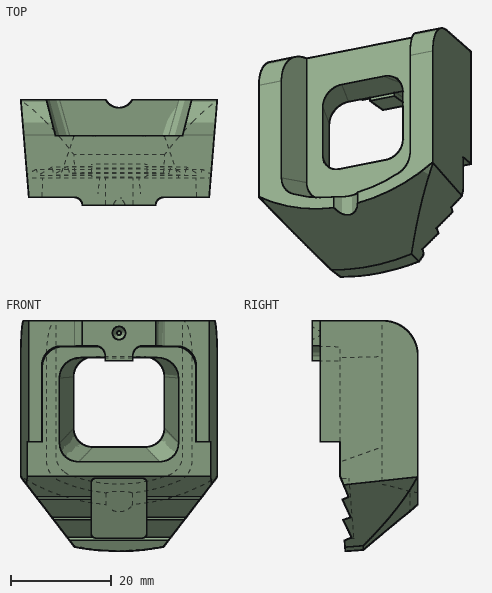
import cadquery as cq
import math


WIDTH = 39.0
DEPTH = 21.0
HEIGHT = 45.75
BEYOND = 4.58

BODY_FRONT_Y = 1.6
WEB_FRONT_Y = 5.55
LEG_BOTTOM_Z = 21.75
TEETH_TOP_Z = 14.85
TEETH = [
    (7.25, 10.8, 6.0, 10.3),
    (7.65, 6.75, 6.15, 6.25),
    (7.82, 2.8, 6.4, 2.2),
]
FOOT_FRONT_Y = 6.6
FOOT_BACK_Y = 10.15
BACK_TOP_RADIUS = 7.0

FRONT_HALF_WIDTH = 17.9
CORNER_TOP_Z = 14.8
CORNER_FOOT_X = 8.75
CORNER_FOOT_Z = 0.8
FOOT_RADIUS = 45.75
FOOT_RISE = 0.25
BACK_BOTTOM_Z = 9.25

LUG_HALF_WIDTH = 7.28
LUG_ROOT_RADIUS = BODY_FRONT_Y
TONGUE_HALF_WIDTH = 2.75
TONGUE_BOTTOM_Z = 37.75
TONGUE_ROOT_RADIUS = 2.0

CORNER_RADIUS = 4.0
CAVITY_HALF_WIDTH = 15.38
CAVITY_TOP_Z = 40.75
CAVITY_NARROWING = 0.2

WINDOW_FRONT_HALF_WIDTH = 11.8
WINDOW_FRONT_BOTTOM_Z = 17.8
WINDOW_FRONT_TOP_Z = 38.45
WINDOW_BACK_HALF_WIDTH = 8.95
WINDOW_BACK_BOTTOM_Z = 20.75
WINDOW_BACK_TOP_Z = 38.65

RECESS_FRONT_Y = 13.77
RECESS_FRONT_HALF_WIDTH = 12.6
RECESS_BACK_HALF_WIDTH = 14.4
RECESS_FLOOR_Z = 11.55
RECESS_FLOOR_RADIUS = 29.3
RECESS_CORNER_RADIUS = 4.35
GROOVE_RADIUS = 2.97
GROOVE_BOTTOM_Y = 19.4

POCKET_WIDTH = 11.07
POCKET_TOP_Z = 14.5
POCKET_BOTTOM_Z = 2.65
POCKET_CORNER_RADIUS = 0.9
POCKET_TOP_Y = 7.28
POCKET_BOTTOM_Y = 8.25

MARK_Z = 43.3
MARK_DIAMETER = 2.6
MARK_TIP_DIAMETER = 0.82
MARK_ANGLE = 60.0


def front_plane(y):
    """Plane seen from the front: local x is X, local y is Z, negative extrusion runs towards the back."""
    return cq.Plane(origin=(0, y, 0), xDir=(1, 0, 0), normal=(0, -1, 0))


def side_profile_block():
    profile = (
        cq.Workplane("YZ")
        .moveTo(BODY_FRONT_Y, HEIGHT)
        .lineTo(BODY_FRONT_Y, LEG_BOTTOM_Z)
        .lineTo(WEB_FRONT_Y, LEG_BOTTOM_Z)
        .lineTo(WEB_FRONT_Y, TEETH_TOP_Z)
    )
    for valley_y, valley_z, peak_y, peak_z in TEETH:
        profile = profile.lineTo(valley_y, valley_z).lineTo(peak_y, peak_z)
    profile = (
        profile.lineTo(FOOT_FRONT_Y, 0)
        .lineTo(FOOT_FRONT_Y, -BEYOND)
        .lineTo(DEPTH, -BEYOND)
        .lineTo(DEPTH, HEIGHT - BACK_TOP_RADIUS)
        .radiusArc((DEPTH - BACK_TOP_RADIUS, HEIGHT), -BACK_TOP_RADIUS)
        .close()
    )
    return profile.extrude(WIDTH / 2, both=True)


def plan_taper():
    half = WIDTH / 2
    outline = [
        (-half, DEPTH),
        (half, DEPTH),
        (FRONT_HALF_WIDTH, BODY_FRONT_Y),
        (-FRONT_HALF_WIDTH, BODY_FRONT_Y),
    ]
    return cq.Workplane("XY").workplane(offset=-BEYOND).polyline(outline).close().extrude(HEIGHT + 2 * BEYOND)


def front_outline_limit():
    """Front outline of the body: full width above, narrowing along the lower corner cuts."""
    half = WIDTH / 2
    slope = (half - CORNER_FOOT_X) / (CORNER_TOP_Z - CORNER_FOOT_Z)
    low_x = CORNER_FOOT_X - slope * (CORNER_FOOT_Z + BEYOND)
    outline = [
        (-half, HEIGHT),
        (-half, CORNER_TOP_Z),
        (-low_x, -BEYOND),
        (low_x, -BEYOND),
        (half, CORNER_TOP_Z),
        (half, HEIGHT),
    ]
    return cq.Workplane(front_plane(0)).polyline(outline).close().extrude(-DEPTH)


def underside_limit():
    """Solid of revolution about an axis along Y that rounds the foot and the sloping underside."""
    rise_per_y = FOOT_RISE / (FOOT_BACK_Y - FOOT_FRONT_Y)
    outline = [
        (0, 0),
        (FOOT_RADIUS + rise_per_y * FOOT_FRONT_Y, 0),
        (FOOT_RADIUS - FOOT_RISE, FOOT_BACK_Y),
        (FOOT_RADIUS - BACK_BOTTOM_Z, DEPTH),
        (0, DEPTH),
    ]
    spindle = cq.Workplane("XY").polyline(outline).close().revolve(360, (0, 0), (0, 1))
    return spindle.translate((0, 0, FOOT_RADIUS))


def front_lug():
    """Raised lug with concave roots on both sides."""
    root_x = LUG_HALF_WIDTH + LUG_ROOT_RADIUS
    return (
        cq.Workplane("XY")
        .workplane(offset=TONGUE_BOTTOM_Z)
        .moveTo(-root_x, WEB_FRONT_Y)
        .lineTo(-root_x, BODY_FRONT_Y)
        .radiusArc((-LUG_HALF_WIDTH, 0), LUG_ROOT_RADIUS)
        .lineTo(LUG_HALF_WIDTH, 0)
        .radiusArc((root_x, BODY_FRONT_Y), LUG_ROOT_RADIUS)
        .lineTo(root_x, WEB_FRONT_Y)
        .close()
        .extrude(HEIGHT - TONGUE_BOTTOM_Z)
    )


def tapered_block(front_y, front_rect, back_y, back_rect):
    """Block between two rectangles given as (half width, bottom Z, top Z)."""
    block = cq.Workplane(front_plane(front_y))
    for offset, (half, bottom, top) in ((0, front_rect), (front_y - back_y, back_rect)):
        outline = [(-half, bottom), (half, bottom), (half, top), (-half, top)]
        block = block.workplane(offset=offset).polyline(outline).close()
    return block.loft(ruled=True)


def tongue():
    """Tongue hanging from the lug into the cavity, flaring into the cavity roof on both sides."""
    root_x = TONGUE_HALF_WIDTH + TONGUE_ROOT_RADIUS
    root_z = CAVITY_TOP_Z - TONGUE_ROOT_RADIUS
    return (
        cq.Workplane(front_plane(0))
        .moveTo(-root_x, HEIGHT)
        .lineTo(-root_x, CAVITY_TOP_Z)
        .radiusArc((-TONGUE_HALF_WIDTH, root_z), TONGUE_ROOT_RADIUS)
        .lineTo(-TONGUE_HALF_WIDTH, TONGUE_BOTTOM_Z)
        .lineTo(TONGUE_HALF_WIDTH, TONGUE_BOTTOM_Z)
        .lineTo(TONGUE_HALF_WIDTH, root_z)
        .radiusArc((root_x, CAVITY_TOP_Z), TONGUE_ROOT_RADIUS)
        .lineTo(root_x, HEIGHT)
        .close()
        .extrude(-WEB_FRONT_Y)
    )


def front_cavity():
    """Pocket between the legs, open at the bottom, with the tongue left standing in it."""
    bottom_z = LEG_BOTTOM_Z - BEYOND
    pocket = tapered_block(
        0,
        (CAVITY_HALF_WIDTH, bottom_z, CAVITY_TOP_Z),
        WEB_FRONT_Y,
        (CAVITY_HALF_WIDTH - CAVITY_NARROWING, bottom_z, CAVITY_TOP_Z - CAVITY_NARROWING),
    )
    top_corners = cq.selectors.BoxSelector((-WIDTH, -BEYOND, LEG_BOTTOM_Z), (WIDTH, DEPTH, HEIGHT))
    return pocket.edges("not(#Y)").edges(top_corners).fillet(CORNER_RADIUS).cut(tongue())


def window():
    """Rounded opening that narrows at the sides and bottom from the web to the back recess."""
    opening = tapered_block(
        WEB_FRONT_Y,
        (WINDOW_FRONT_HALF_WIDTH, WINDOW_FRONT_BOTTOM_Z, WINDOW_FRONT_TOP_Z),
        RECESS_FRONT_Y,
        (WINDOW_BACK_HALF_WIDTH, WINDOW_BACK_BOTTOM_Z, WINDOW_BACK_TOP_Z),
    )
    return opening.edges("not(#Y)").fillet(CORNER_RADIUS)


def recess_section(block, offset, half_width, floor_radius):
    """Add one open-topped section: upright walls, rounded corners and a dished floor about a fixed centre."""
    dish_centre_z = RECESS_FLOOR_Z + RECESS_FLOOR_RADIUS
    corner_x = half_width - RECESS_CORNER_RADIUS
    corner_z = dish_centre_z - math.sqrt((floor_radius - RECESS_CORNER_RADIUS) ** 2 - corner_x ** 2)
    reach = floor_radius / (floor_radius - RECESS_CORNER_RADIUS)
    floor_x = corner_x * reach
    floor_z = dish_centre_z + (corner_z - dish_centre_z) * reach
    return (
        block.workplane(offset=offset)
        .moveTo(-half_width, HEIGHT)
        .lineTo(-half_width, corner_z)
        .radiusArc((-floor_x, floor_z), -RECESS_CORNER_RADIUS)
        .radiusArc((floor_x, floor_z), -floor_radius)
        .radiusArc((half_width, corner_z), -RECESS_CORNER_RADIUS)
        .lineTo(half_width, HEIGHT)
        .close()
    )


def back_recess():
    """Upright channel between the back lugs, with a dished floor that drops towards the back."""
    inset = RECESS_BACK_HALF_WIDTH - RECESS_FRONT_HALF_WIDTH
    block = cq.Workplane(front_plane(RECESS_FRONT_Y))
    block = recess_section(block, 0, RECESS_FRONT_HALF_WIDTH, RECESS_FLOOR_RADIUS - inset)
    block = recess_section(block, RECESS_FRONT_Y - DEPTH, RECESS_BACK_HALF_WIDTH, RECESS_FLOOR_RADIUS)
    return block.loft(ruled=True)


def drain_groove():
    centre_y = GROOVE_BOTTOM_Y + GROOVE_RADIUS
    return cq.Workplane("XY").center(0, centre_y).circle(GROOVE_RADIUS).extrude(WINDOW_BACK_BOTTOM_Z)


def label_pocket():
    """Rounded rectangular pocket through the teeth, with a sloping flat floor."""
    height = POCKET_TOP_Z - POCKET_BOTTOM_Z
    rounded_prism = (
        cq.Workplane(front_plane(0))
        .center(0, POCKET_BOTTOM_Z + height / 2)
        .rect(POCKET_WIDTH, height)
        .extrude(-DEPTH)
        .edges("|Y")
        .fillet(POCKET_CORNER_RADIUS)
    )
    side_outline = [
        (0, POCKET_TOP_Z),
        (POCKET_TOP_Y, POCKET_TOP_Z),
        (POCKET_BOTTOM_Y, POCKET_BOTTOM_Z),
        (0, POCKET_BOTTOM_Z),
    ]
    wedge = cq.Workplane("YZ").polyline(side_outline).close().extrude(POCKET_WIDTH, both=True)
    return rounded_prism.intersect(wedge)


def centre_mark():
    depth = (MARK_DIAMETER - MARK_TIP_DIAMETER) / 2 / math.tan(math.radians(MARK_ANGLE / 2))
    return (
        cq.Workplane(front_plane(0))
        .center(0, MARK_Z)
        .circle(MARK_DIAMETER / 2)
        .workplane(offset=-depth)
        .circle(MARK_TIP_DIAMETER / 2)
        .loft()
    )


result = side_profile_block().intersect(plan_taper())
result = result.intersect(front_outline_limit()).intersect(underside_limit())

result = result.union(front_lug())
result = result.cut(front_cavity()).cut(window()).cut(back_recess()).cut(drain_groove())
result = result.cut(centre_mark()).cut(label_pocket())